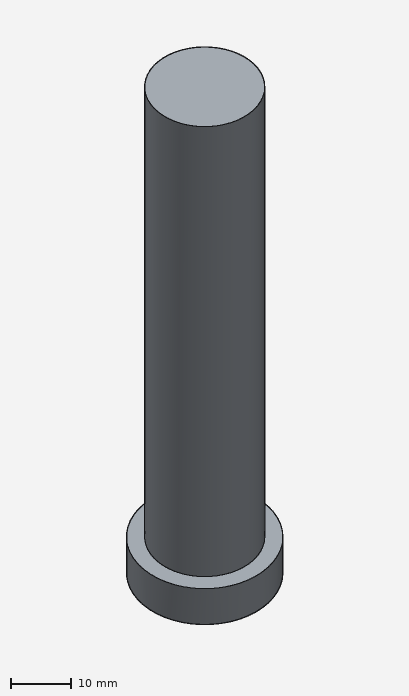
import cadquery as cq

total_length = 108.0
head_diameter = 26.0
head_height = 8.0
shank_diameter = 20.0
shank_length = total_length - head_height

head = cq.Workplane("XY").circle(head_diameter / 2).extrude(head_height)

result = head.faces(">Z").workplane().circle(shank_diameter / 2).extrude(shank_length)